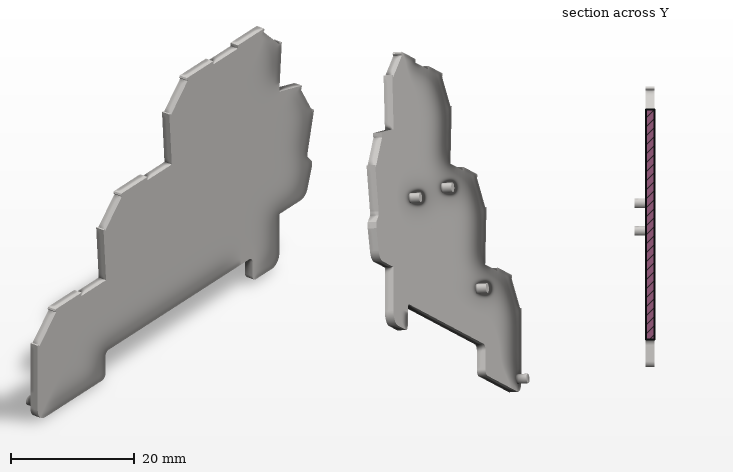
import cadquery as cq

length = 74.5
height = 45.8
plate_thickness = 1.5
pin_length = 1.8
pin_diameter = 1.6

head_count = 3
pitch_y = 17.7
pitch_z = 13.55
pad_width = 7.1
pad_height = 0.6
bevel_inner_y = 4.9
bevel_outer_y = 0.45
bevel_depth = 4.9
lip = 0.3
wall_draft = 0.7

foot_inner_y = 18.25
leg_inner_y = 57.9
leg_outer_y = 65.1
leg_bottom_z = 0.45
underside_z = 4.9
shelf_z = 9.7
large_radius = 2.0
small_radius = 0.9
pin_centers = [(1.95, 2.1), (22.65, 13.4), (40.3, 27.0), (56.7, 22.5)]


def head_top(index):
    return height - (head_count - 1 - index) * pitch_z


def bevel_points(outer_y, top_z):
    """Lipped bevel of one head, from the outer wall up to the raised pad."""
    return [
        (outer_y, top_z - bevel_depth + lip),
        (outer_y + bevel_outer_y - lip / 2, top_z - bevel_depth + lip),
        (outer_y + bevel_outer_y, top_z - bevel_depth),
        (outer_y + bevel_inner_y, top_z - pad_height),
        (outer_y + bevel_inner_y - lip, top_z - lip),
        (outer_y + bevel_inner_y - lip / 2, top_z),
    ]


def head_points(index):
    """Bevel and raised pad of one head, ending on the tread behind the pad."""
    outer_y = index * pitch_y
    top_z = head_top(index)
    pad_end_y = outer_y + bevel_inner_y + pad_width - lip / 2
    return bevel_points(outer_y, top_z) + [
        (pad_end_y, top_z),
        (pad_end_y, top_z - pad_height),
    ]


def terrace_points():
    points = []
    for index in range(head_count):
        points += head_points(index)
        if index < head_count - 1:
            wall_foot_y = (index + 1) * pitch_y + wall_draft
            points.append((wall_foot_y, head_top(index) - pad_height))
    return points


tall_outer_y = (head_count - 1) * pitch_y
tall_far_y = leg_outer_y + wall_draft


def mirrored_half():
    return [(tall_outer_y + tall_far_y - y, z)
            for y, z in reversed(head_points(head_count - 1))]


shelf_corner = (72.3, shelf_z)
tilted_head = [
    (leg_outer_y, 32.35),
    (71.2, 30.8),
    (71.0, 30.0),
    (74.15, 24.7),
    (length, 24.9),
    (72.7, 17.6),
    (72.7, 16.9),
    (73.9, 15.65),
    (73.9, 14.6),
    shelf_corner,
]

leg_outer_corner = (leg_outer_y, leg_bottom_z)
leg_inner_corner = (leg_inner_y, leg_bottom_z)
leg_root = (leg_inner_y, underside_z)
foot_root = (foot_inner_y, underside_z)
foot_inner_corner = (foot_inner_y, 0)
foot_outer_corner = (0, 0)
base = [
    (leg_outer_y, shelf_z),
    leg_outer_corner,
    leg_inner_corner,
    leg_root,
    foot_root,
    foot_inner_corner,
    foot_outer_corner,
]

outline = terrace_points() + mirrored_half() + tilted_head + base
plate = cq.Workplane("YZ").polyline(outline).close().extrude(plate_thickness)


def round_corners(body, corners, radius):
    for y, z in corners:
        corner_edge = cq.NearestToPointSelector((plate_thickness / 2, y, z))
        body = body.edges("|X").edges(corner_edge).fillet(radius)
    return body


plate = round_corners(plate, [shelf_corner, leg_outer_corner, foot_outer_corner], large_radius)
plate = round_corners(plate, [leg_inner_corner, leg_root, foot_root, foot_inner_corner], small_radius)

pins = (
    cq.Workplane("YZ", origin=(plate_thickness / 2, 0, 0))
    .pushPoints(pin_centers)
    .circle(pin_diameter / 2)
    .extrude(-(pin_length + plate_thickness / 2))
)

result = plate.union(pins)